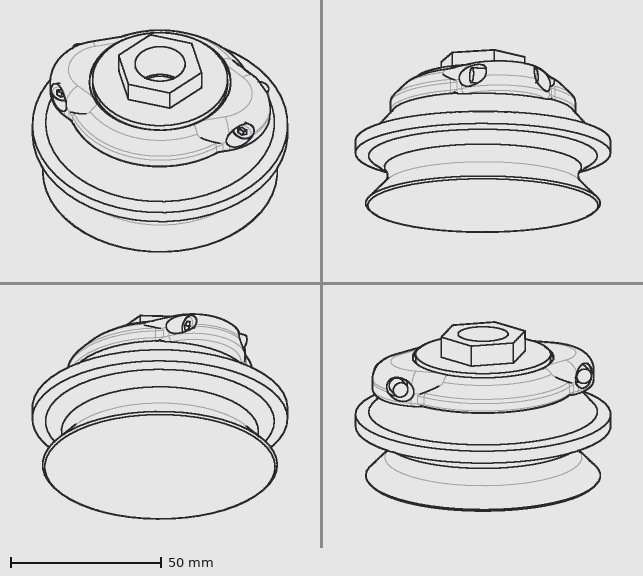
import cadquery as cq
import math

TOTAL_HEIGHT = 50.0
CUP_TOP_Z = 31.6
LOBE_BOTTOM_Z = 31.0
CLAMP_TOP_Z = 42.0
DISC_TOP_Z = 43.0

FLANGE_RADIUS = 42.5
FLANGE_LOW_Z = 17.9
FLANGE_HIGH_Z = 22.1
FLANGE_ROOT_RADIUS = 38.1
FLANGE_ROOT_LOW_Z = 17.0
FLANGE_ROOT_HIGH_Z = 22.95
CUP_TOP_RADIUS = 30.35
NECK_RADIUS = 31.8
NECK_Z = 10.2
NECK_HALF_HEIGHT = 3.0
NECK_EDGE_RADIUS = 32.8
LIP_RADIUS = 39.1
LIP_CHAMFER = 0.8

COLLAR_RADIUS = 30.85
COLLAR_BLEND_RADIUS = 8.0
COLLAR_CHAMFER_Z = 35.95
COLLAR_TOP_ROUND = 6.0
COLLAR_SHOULDER_ROUND = 1.9
SHOULDER_MARGIN = 0.1
COLLAR_BOTTOM_ROUND = 1.0
LOBE_OFFSET = 20.0
LOBE_RADIUS = 17.5
LOBE_TOP_ROUND = 6.0
LOBE_BOTTOM_ROUND = 1.5
LOBE_FLANK_ANGLE = 60.0

DISC_DIAMETER = 45.0
GROOVE_DIAMETER = 47.0
GROOVE_DEPTH = 1.0
HEX_ACROSS_FLATS = 25.0
PORT_DIAMETER = 16.7
PORT_DEPTH = 12.75
PILOT_DIAMETER = 15.0
PILOT_DEPTH = 15.3

SCREW_X = 31.5
SCREW_Z = 36.55
SCREW_BORE_DIAMETER = 7.5
SCREW_HEAD_ROUND = 0.8
SCREW_HEAD_Y = -9.7
SOCKET_ACROSS_FLATS = 3.0
SOCKET_DEPTH = 1.7
SCREW_SHANK_DIAMETER = 5.0
SCREW_END_Y = 12.4
BORE_SEAT_Y = 6.8
BORE_REACH_Y = 25.5


def hexagon_corner_diameter(across_flats):
    return across_flats / math.cos(math.pi / 6)


def make_cup():
    """Bellows cup turned about Z: lip, waist, flange and upper cone."""
    profile = (
        cq.Workplane("XZ")
        .lineTo(LIP_RADIUS - LIP_CHAMFER, 0)
        .lineTo(LIP_RADIUS, LIP_CHAMFER)
        .lineTo(NECK_EDGE_RADIUS, NECK_Z - NECK_HALF_HEIGHT)
        .threePointArc((NECK_RADIUS, NECK_Z), (NECK_EDGE_RADIUS, NECK_Z + NECK_HALF_HEIGHT))
        .lineTo(FLANGE_ROOT_RADIUS, FLANGE_ROOT_LOW_Z)
        .lineTo(FLANGE_RADIUS, FLANGE_LOW_Z)
        .lineTo(FLANGE_RADIUS, FLANGE_HIGH_Z)
        .lineTo(FLANGE_ROOT_RADIUS, FLANGE_ROOT_HIGH_Z)
        .lineTo(CUP_TOP_RADIUS, CUP_TOP_Z)
        .lineTo(0, CUP_TOP_Z)
        .close()
    )
    return profile.revolve(360, (0, 0, 0), (0, 1, 0))


def collar_outline():
    """Round collar flowing through hollow blend arcs into the lobe arcs."""
    to_collar = COLLAR_RADIUS + COLLAR_BLEND_RADIUS
    to_lobe = LOBE_RADIUS + COLLAR_BLEND_RADIUS
    blend_x = (to_collar**2 - to_lobe**2 + LOBE_OFFSET**2) / (2 * LOBE_OFFSET)
    blend_y = math.sqrt(to_collar**2 - blend_x**2)
    collar_x = blend_x * COLLAR_RADIUS / to_collar
    collar_y = blend_y * COLLAR_RADIUS / to_collar
    lobe_x = LOBE_OFFSET + (blend_x - LOBE_OFFSET) * LOBE_RADIUS / to_lobe
    lobe_y = blend_y * LOBE_RADIUS / to_lobe
    lean = (math.atan2(blend_y, blend_x) + math.atan2(blend_y, blend_x - LOBE_OFFSET)) / 2
    hollow_x = blend_x - COLLAR_BLEND_RADIUS * math.cos(lean)
    hollow_y = blend_y - COLLAR_BLEND_RADIUS * math.sin(lean)
    tip_x = LOBE_OFFSET + LOBE_RADIUS
    return (
        cq.Workplane("XY", origin=(0, 0, CUP_TOP_Z))
        .moveTo(lobe_x, -lobe_y)
        .threePointArc((tip_x, 0), (lobe_x, lobe_y))
        .threePointArc((hollow_x, hollow_y), (collar_x, collar_y))
        .threePointArc((0, COLLAR_RADIUS), (-collar_x, collar_y))
        .threePointArc((-hollow_x, hollow_y), (-lobe_x, lobe_y))
        .threePointArc((-tip_x, 0), (-lobe_x, -lobe_y))
        .threePointArc((-hollow_x, -hollow_y), (-collar_x, -collar_y))
        .threePointArc((0, -COLLAR_RADIUS), (collar_x, -collar_y))
        .threePointArc((hollow_x, -hollow_y), (lobe_x, -lobe_y))
        .close()
    )


def make_collar():
    """Collar with a 45 degree sloped shoulder and rounded edges."""
    slope = CLAMP_TOP_Z - COLLAR_CHAMFER_Z
    collar = collar_outline().extrude(CLAMP_TOP_Z - CUP_TOP_Z).faces(">Z").chamfer(slope)
    shoulder = cq.selectors.BoxSelector(
        (-FLANGE_RADIUS, -FLANGE_RADIUS, COLLAR_CHAMFER_Z - SHOULDER_MARGIN),
        (FLANGE_RADIUS, FLANGE_RADIUS, COLLAR_CHAMFER_Z + SHOULDER_MARGIN),
    )
    collar = collar.edges(shoulder).fillet(COLLAR_SHOULDER_ROUND)
    collar = collar.faces(">Z").edges().fillet(COLLAR_TOP_ROUND)
    return collar.faces("<Z").edges().fillet(COLLAR_BOTTOM_ROUND)


def make_lobes():
    """Plate with two round lobes joined by tangent flanks to a round middle."""
    angle = math.radians(LOBE_FLANK_ANGLE)
    normal_x = math.cos(angle)
    normal_y = math.sin(angle)
    middle_radius = LOBE_OFFSET * normal_x + LOBE_RADIUS
    lobe_x = LOBE_OFFSET + LOBE_RADIUS * normal_x
    lobe_y = LOBE_RADIUS * normal_y
    middle_x = middle_radius * normal_x
    middle_y = middle_radius * normal_y
    tip_x = LOBE_OFFSET + LOBE_RADIUS
    plate = (
        cq.Workplane("XY", origin=(0, 0, LOBE_BOTTOM_Z))
        .moveTo(lobe_x, -lobe_y)
        .threePointArc((tip_x, 0), (lobe_x, lobe_y))
        .lineTo(middle_x, middle_y)
        .threePointArc((0, middle_radius), (-middle_x, middle_y))
        .lineTo(-lobe_x, lobe_y)
        .threePointArc((-tip_x, 0), (-lobe_x, -lobe_y))
        .lineTo(-middle_x, -middle_y)
        .threePointArc((0, -middle_radius), (middle_x, -middle_y))
        .close()
        .extrude(CLAMP_TOP_Z - LOBE_BOTTOM_Z)
    )
    plate = plate.faces(">Z").edges().fillet(LOBE_TOP_ROUND)
    return plate.faces("<Z").edges().fillet(LOBE_BOTTOM_ROUND)


def y_cylinder(x, diameter, start_y, end_y):
    """Cylinder along Y on the screw axis of the lobe at x."""
    return (
        cq.Workplane("XZ", origin=(x, start_y, SCREW_Z))
        .circle(diameter / 2)
        .extrude(start_y - end_y)
    )


def add_screw(clamp, x):
    """Open the bore at both ends of a lobe, then add the socket head and the shank end."""
    clamp = clamp.cut(y_cylinder(x, SCREW_BORE_DIAMETER, -BORE_REACH_Y, -BORE_SEAT_Y))
    clamp = clamp.cut(y_cylinder(x, SCREW_BORE_DIAMETER, BORE_SEAT_Y, BORE_REACH_Y))

    head = y_cylinder(x, SCREW_BORE_DIAMETER, SCREW_HEAD_Y, -BORE_SEAT_Y)
    head = head.faces("<Y").edges().fillet(SCREW_HEAD_ROUND)
    socket = (
        cq.Workplane("XZ", origin=(x, SCREW_HEAD_Y, SCREW_Z))
        .transformed(rotate=(0, 0, 90))
        .polygon(6, hexagon_corner_diameter(SOCKET_ACROSS_FLATS))
        .extrude(-SOCKET_DEPTH)
    )
    shank = y_cylinder(x, SCREW_SHANK_DIAMETER, BORE_SEAT_Y, SCREW_END_Y)
    return clamp.union(head.cut(socket)).union(shank)


def add_fitting(clamp):
    """Raised disc inside a ring groove, hexagon on top and the stepped blind port."""
    groove_floor_z = CLAMP_TOP_Z - GROOVE_DEPTH
    groove = (
        cq.Workplane("XY", origin=(0, 0, groove_floor_z))
        .circle(GROOVE_DIAMETER / 2)
        .extrude(DISC_TOP_Z - groove_floor_z)
    )
    disc = (
        cq.Workplane("XY", origin=(0, 0, groove_floor_z))
        .circle(DISC_DIAMETER / 2)
        .extrude(DISC_TOP_Z - groove_floor_z)
    )
    hexagon = (
        cq.Workplane("XY", origin=(0, 0, DISC_TOP_Z))
        .polygon(6, hexagon_corner_diameter(HEX_ACROSS_FLATS))
        .extrude(TOTAL_HEIGHT - DISC_TOP_Z)
    )
    top = cq.Workplane("XY", origin=(0, 0, TOTAL_HEIGHT))
    port = top.circle(PORT_DIAMETER / 2).extrude(-PORT_DEPTH)
    pilot = top.circle(PILOT_DIAMETER / 2).extrude(-PILOT_DEPTH)
    return clamp.cut(groove).union(disc).union(hexagon).cut(port).cut(pilot)


def make_clamp_fitting(cup):
    """Clamp, fitting and screws as one body, recessed underneath to seat on the cup."""
    body = make_collar().union(make_lobes())
    body = add_fitting(body)
    for x in (-SCREW_X, SCREW_X):
        body = add_screw(body, x)
    return body.cut(cup)


cup = make_cup()
clamp_fitting = make_clamp_fitting(cup)

result = cq.Compound.makeCompound([cup.val(), *clamp_fitting.vals()])